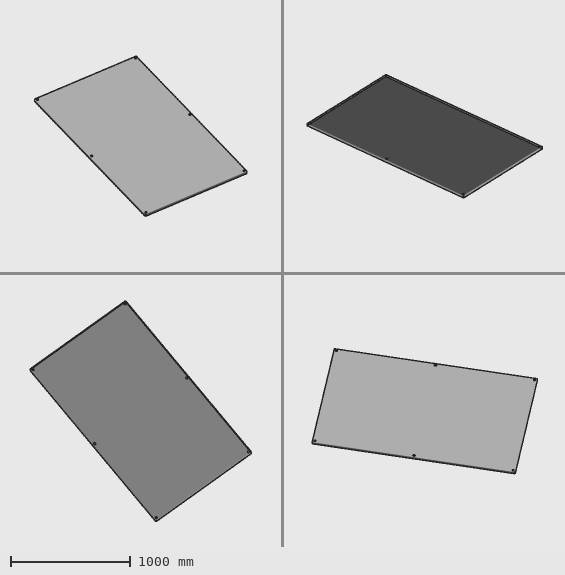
import cadquery as cq

length = 1727.0
width = 1012.0
height = 22.0

sheet_thickness = 2.6
bend_radius = 4.3
inner_bend_radius = bend_radius - sheet_thickness
corner_relief = 5.0

hole_diameter = 14.3
slot_length = 19.0
hole_inset_from_short_side = 22.0
hole_inset_from_long_side = 20.0
hole_x = length / 2 - hole_inset_from_short_side
hole_y = width / 2 - hole_inset_from_long_side


def folded_tray():
    """Face sheet with four flanges folded down, open underneath."""
    outer = cq.Workplane("XY").box(length, width, height, centered=(True, True, False))
    outer = outer.faces(">Z").edges().fillet(bend_radius)
    inner = cq.Workplane("XY").box(
        length - 2 * sheet_thickness,
        width - 2 * sheet_thickness,
        height - sheet_thickness,
        centered=(True, True, False),
    )
    inner = inner.faces(">Z").edges().fillet(inner_bend_radius)
    return outer.cut(inner)


def corner_notches():
    """Square reliefs that keep neighbouring flanges apart."""
    corners = cq.Workplane("XY").rect(length, width, forConstruction=True).vertices()
    return corners.rect(2 * corner_relief, 2 * corner_relief).extrude(height)


def mounting_holes():
    """Round holes at the corners and a slot midway along each long side."""
    round_points = [(x, y) for x in (-hole_x, hole_x) for y in (-hole_y, hole_y)]
    slot_points = [(0, -hole_y), (0, hole_y)]
    holes = cq.Workplane("XY").pushPoints(round_points).circle(hole_diameter / 2).extrude(height)
    slots = cq.Workplane("XY").pushPoints(slot_points).slot2D(slot_length, hole_diameter).extrude(height)
    return holes.union(slots)


result = folded_tray().cut(corner_notches()).cut(mounting_holes())